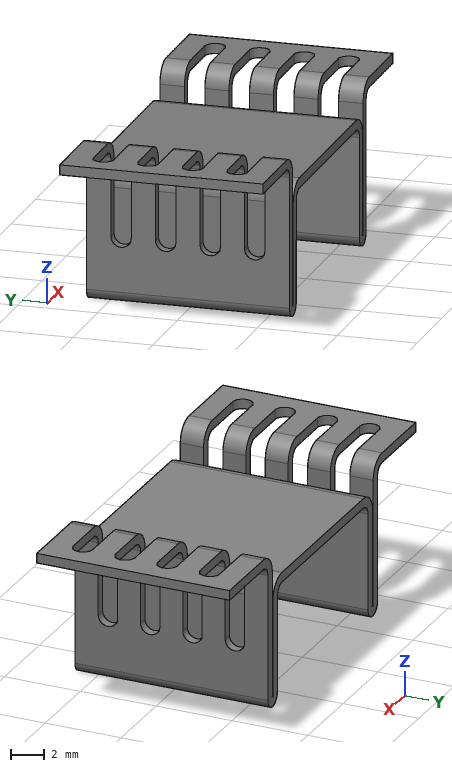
import cadquery as cq

length = 26.55
width = 12.7
height = 10.2
sheet = 0.65
fold_gap = 0.1
flange_to_wall = 5.45
bridge_drop = 1.9
bend_inner = 0.65

slot_count = 4
slot_pitch = 2.79
slot_width = 1.27
slot_tip_margin = 1.27
slot_depth = 6.65

bend_outer = bend_inner + sheet
fold_inner = fold_gap / 2
fold_outer = fold_inner + sheet
tip_x = length / 2
outer_wall_x = tip_x - flange_to_wall
fold_x = outer_wall_x - fold_outer
inner_wall_x = fold_x - fold_outer
bridge_top = height - bridge_drop


def make_half_strip():
    """Sheet from the middle of the bridge to the +X flange tip."""
    gap_inner_x = fold_x - fold_inner
    gap_outer_x = fold_x + fold_inner
    profile = (
        cq.Workplane("XZ")
        .moveTo(0, bridge_top)
        .lineTo(gap_inner_x - bend_outer, bridge_top)
        .tangentArcPoint((gap_inner_x, bridge_top - bend_outer), relative=False)
        .lineTo(gap_inner_x, fold_outer)
        .tangentArcPoint((gap_outer_x, fold_outer), relative=False)
        .lineTo(gap_outer_x, height - bend_outer)
        .tangentArcPoint((gap_outer_x + bend_outer, height), relative=False)
        .lineTo(tip_x, height)
        .lineTo(tip_x, height - sheet)
        .lineTo(outer_wall_x + bend_inner, height - sheet)
        .tangentArcPoint((outer_wall_x, height - bend_outer), relative=False)
        .lineTo(outer_wall_x, fold_outer)
        .tangentArcPoint((inner_wall_x, fold_outer), relative=False)
        .lineTo(inner_wall_x, bridge_top - bend_outer)
        .tangentArcPoint((inner_wall_x - bend_inner, bridge_top - sheet), relative=False)
        .lineTo(0, bridge_top - sheet)
        .close()
    )
    return profile.extrude(width / 2, both=True)


def make_slot_cutter(y):
    """Round-ended slot running along the flange, around the bend and down the outer wall."""
    slot_radius = slot_width / 2
    start_x = fold_x
    flange_straight = tip_x - slot_tip_margin - slot_radius - start_x
    slot_bottom = height - slot_depth
    wall_straight = slot_depth - slot_radius
    wall_reach = outer_wall_x + bend_inner - start_x

    flange_bar = cq.Workplane("XY").box(
        flange_straight, slot_width, bend_outer, centered=(False, True, False)
    ).translate((start_x, y, height - bend_outer))
    flange_end = (
        cq.Workplane("XY", origin=(start_x + flange_straight, y, height - bend_outer))
        .circle(slot_radius)
        .extrude(bend_outer)
    )
    wall_bar = cq.Workplane("XY").box(
        wall_reach, slot_width, wall_straight, centered=(False, True, False)
    ).translate((start_x, y, slot_bottom + slot_radius))
    wall_end = (
        cq.Workplane("YZ", origin=(start_x, y, slot_bottom + slot_radius))
        .circle(slot_radius)
        .extrude(wall_reach)
    )
    return flange_bar.union(flange_end).union(wall_bar).union(wall_end)


half = make_half_strip()
for index in range(slot_count):
    slot_y = (index - (slot_count - 1) / 2) * slot_pitch
    half = half.cut(make_slot_cutter(slot_y))

result = half.union(half.mirror("YZ")).clean()